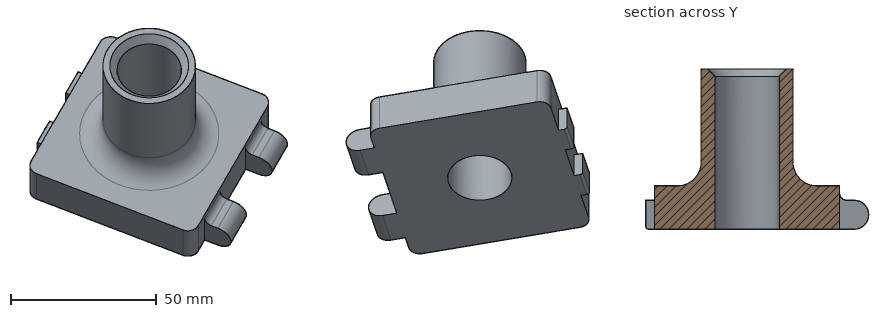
import cadquery as cq

PLATE_SIDE = 63.5
PLATE_HEIGHT = 15.0
PLATE_CORNER_RADIUS = 4.0

TOTAL_HEIGHT = 55.0
TUBE_DIAMETER = 31.75
FLARE_RADIUS = 8.0
BORE_DIAMETER = 22.0
MOUTH_CHAMFER = 2.5

TAB_HEIGHT = 10.0

SMALL_TAB_LENGTH = 3.0
SMALL_TAB_WIDTH = 10.0
SMALL_TAB_OFFSET = 11.5
SMALL_TAB_EDGE_RADIUS = 1.0

NOSE_TAB_LENGTH = 10.0
NOSE_TAB_WIDTH = 12.5
NOSE_TAB_OFFSET = 16.5
NOSE_RADIUS = TAB_HEIGHT / 2
NOSE_TAB_ROOT_RADIUS = 2.5

HALF_SIDE = PLATE_SIDE / 2
TAB_EMBED = 1.0


def make_plate():
    plate = cq.Workplane("XY").rect(PLATE_SIDE, PLATE_SIDE).extrude(PLATE_HEIGHT)
    return plate.edges("|Z").fillet(PLATE_CORNER_RADIUS)


def add_tube(body):
    tube = (
        cq.Workplane("XY")
        .workplane(offset=PLATE_HEIGHT)
        .circle(TUBE_DIAMETER / 2)
        .extrude(TOTAL_HEIGHT - PLATE_HEIGHT)
    )
    body = body.union(tube)
    root_circle = body.edges("%CIRCLE").edges(
        cq.selectors.NearestToPointSelector((0, 0, PLATE_HEIGHT))
    )
    return root_circle.fillet(FLARE_RADIUS)


def cut_bore(body):
    """Bore through tube and plate, with a 45 degree chamfer at the mouth."""
    bore = cq.Workplane("XY").circle(BORE_DIAMETER / 2).extrude(TOTAL_HEIGHT)
    body = body.cut(bore)
    mouth_edge = cq.selectors.RadiusNthSelector(0)
    return body.faces(">Z").edges(mouth_edge).chamfer(MOUTH_CHAMFER)


def make_small_tab(y_center):
    """Square tab whose outer bottom edge is rounded."""
    tab = cq.Workplane("XY").box(
        SMALL_TAB_LENGTH + TAB_EMBED,
        SMALL_TAB_WIDTH,
        TAB_HEIGHT,
        centered=(False, True, False),
    )
    tab = tab.edges("<X and <Z").fillet(SMALL_TAB_EDGE_RADIUS)
    return tab.translate((-HALF_SIDE - SMALL_TAB_LENGTH, y_center, 0))


def make_nose_tab(y_center):
    """Tab with a half-round nose and a concave blend up to the plate side."""
    root_x = HALF_SIDE - TAB_EMBED
    nose_center_x = HALF_SIDE + NOSE_TAB_LENGTH - NOSE_RADIUS
    blend_top = TAB_HEIGHT + NOSE_TAB_ROOT_RADIUS
    blend_end_x = HALF_SIDE + NOSE_TAB_ROOT_RADIUS
    profile = (
        cq.Workplane("XZ", origin=(0, y_center, 0))
        .moveTo(root_x, 0)
        .lineTo(nose_center_x, 0)
        .threePointArc((nose_center_x + NOSE_RADIUS, NOSE_RADIUS), (nose_center_x, TAB_HEIGHT))
        .lineTo(blend_end_x, TAB_HEIGHT)
        .tangentArcPoint((HALF_SIDE, blend_top), relative=False)
        .lineTo(root_x, blend_top)
        .close()
    )
    return profile.extrude(NOSE_TAB_WIDTH / 2, both=True)


def add_tabs(body):
    for side in (-1, 1):
        body = body.union(make_small_tab(side * SMALL_TAB_OFFSET))
        body = body.union(make_nose_tab(side * NOSE_TAB_OFFSET))
    return body


result = make_plate()
result = add_tube(result)
result = cut_bore(result)
result = add_tabs(result)